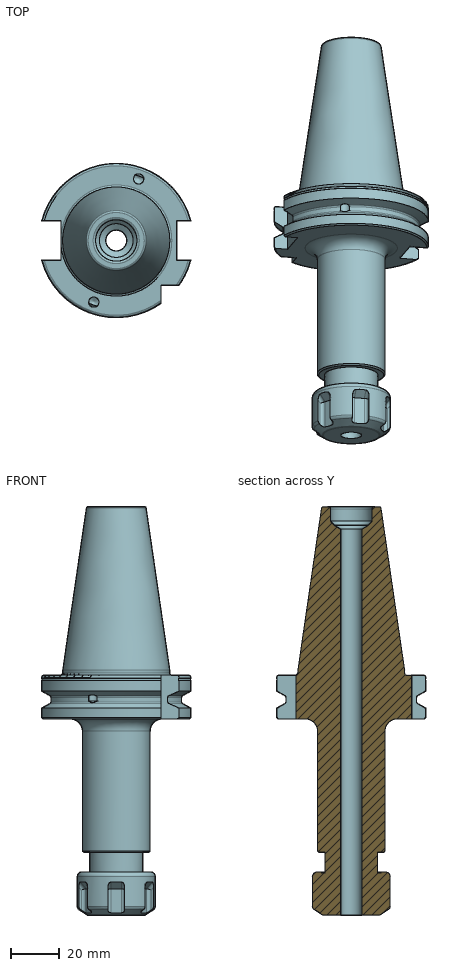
import math

import cadquery as cq


gauge_radius = 44.45 / 2
taper_length = 68.4
taper_slope = 7 / 48
taper_end_radius = gauge_radius - taper_slope * taper_length
taper_end_fillet = 0.8
taper_start_z = 1.0
collar_fillet = 0.8

pilot_radius = 8.5
pilot_depth = 6.0
pilot_mouth_fillet = 1.0
thread_radius = 6.95
thread_cone_angle = 90
thread_depth = 7.7
drill_radius = 4.25
drill_point_angle = 118

flange_radius = 63.55 / 2
flange_top_z = -1.0
flange_bottom_z = -19.1
flange_top_fillet = 1.0
flange_bottom_chamfer = 0.6
groove_center_z = -11.1
groove_mouth_width = 7.0
groove_floor_radius = 56.25 / 2
groove_half_angle = 30
groove_floor_fillet = 0.8
rim_band_depth = 0.15
rim_band_top_z = -2.5
rim_band_width = 0.8

key_slot_width = 16.1
key_slot_minus_x = 22.8
key_slot_plus_x = 25.0
notch_offset = 18.5

coolant_circle_radius = 27.0
coolant_hole_radius = 2.1
coolant_hole_angle = 70
coolant_hole_tip_z = -13.0

body_radius = 14.0
body_fillet = 5.0
body_bottom_z = -74.0
body_chamfer = 0.6
neck_radius = 11.0

nut_radius = 16.1
nut_top_z = -82.0
nut_bottom_z = -100.0
nut_top_fillet = 2.0
nut_face_radius = 11.7
nut_cone_height = 2.9
nut_corner_fillet = 1.5
nut_face_fillet = 0.8
nut_recess_radius = 12.2
nut_recess_depth = 0.5

wrench_slot_count = 6
wrench_slot_start_angle = 30
wrench_slot_width = 7.0
wrench_slot_floor = 13.2
wrench_slot_fillet = 1.4
wrench_slot_top_z = -86.1
wrench_slot_extra_length = 1.0


def circles_at(part, z):
    """Circular edges of a turned part that lie at height z around the Z axis."""
    margin = 0.05
    near_axis = cq.selectors.BoxSelector((-margin, -margin, z - margin), (margin, margin, z + margin))
    return part.edges("%CIRCLE").edges(near_axis)


def make_shank_and_flange():
    """Revolved taper, collar, grooved flange, body and neck."""
    groove_depth = flange_radius - groove_floor_radius
    half_mouth = groove_mouth_width / 2
    half_floor = half_mouth - groove_depth * math.tan(math.radians(groove_half_angle))
    taper_start_radius = gauge_radius - taper_slope * taper_start_z
    profile = (
        cq.Workplane("XZ")
        .moveTo(0, taper_length)
        .lineTo(taper_end_radius, taper_length)
        .lineTo(taper_start_radius, taper_start_z)
        .lineTo(taper_start_radius, flange_top_z + collar_fillet)
        .radiusArc((taper_start_radius + collar_fillet, flange_top_z), -collar_fillet)
        .lineTo(flange_radius - flange_top_fillet, flange_top_z)
        .radiusArc((flange_radius, flange_top_z - flange_top_fillet), flange_top_fillet)
        .lineTo(flange_radius, rim_band_top_z)
        .lineTo(flange_radius - rim_band_depth, rim_band_top_z)
        .lineTo(flange_radius - rim_band_depth, rim_band_top_z - rim_band_width)
        .lineTo(flange_radius, rim_band_top_z - rim_band_width)
        .lineTo(flange_radius, groove_center_z + half_mouth)
        .lineTo(groove_floor_radius, groove_center_z + half_floor)
        .lineTo(groove_floor_radius, groove_center_z - half_floor)
        .lineTo(flange_radius, groove_center_z - half_mouth)
        .lineTo(flange_radius, flange_bottom_z + flange_bottom_chamfer)
        .lineTo(flange_radius - flange_bottom_chamfer, flange_bottom_z)
        .lineTo(body_radius + body_fillet, flange_bottom_z)
        .radiusArc((body_radius, flange_bottom_z - body_fillet), -body_fillet)
        .lineTo(body_radius, body_bottom_z + body_chamfer)
        .lineTo(body_radius - body_chamfer, body_bottom_z)
        .lineTo(neck_radius, body_bottom_z)
        .lineTo(neck_radius, nut_top_z - nut_recess_depth)
        .lineTo(0, nut_top_z - nut_recess_depth)
        .close()
    )
    shank = profile.revolve(360, (0, 0, 0), (0, 1, 0))
    shank = circles_at(shank, taper_length).fillet(taper_end_fillet)
    for side in (-1, 1):
        shank = circles_at(shank, groove_center_z + side * half_floor).fillet(groove_floor_fillet)
    return shank


def cut_key_slots(part):
    """Two drive slots through the flange, at different depths on -X and +X."""
    height = taper_start_z - flange_bottom_z
    for side, floor in ((-1, key_slot_minus_x), (1, key_slot_plus_x)):
        slot = (
            cq.Workplane("XY", origin=(side * (floor + flange_radius / 2), 0, flange_bottom_z))
            .rect(flange_radius, key_slot_width)
            .extrude(height)
        )
        part = part.cut(slot)
    return part


def cut_orientation_notch(part):
    """Square corner notch through the flange on the +X, -Y side."""
    notch = (
        cq.Workplane("XY", origin=(notch_offset, -notch_offset, flange_bottom_z))
        .rect(flange_radius, -flange_radius, centered=False)
        .extrude(flange_top_z - flange_bottom_z)
    )
    return part.cut(notch)


def drill_point_height(radial_drop):
    """Height over which a drill point narrows by the given radius."""
    return radial_drop / math.tan(math.radians(drill_point_angle / 2))


def cut_coolant_holes(part):
    """Two opposite drilled blind holes in the flange face that break into the groove."""
    cone_base_z = coolant_hole_tip_z + drill_point_height(coolant_hole_radius)
    hole = (
        cq.Workplane("XZ")
        .moveTo(0, flange_top_z)
        .lineTo(coolant_hole_radius, flange_top_z)
        .lineTo(coolant_hole_radius, cone_base_z)
        .lineTo(0, coolant_hole_tip_z)
        .close()
        .revolve(360, (0, 0, 0), (0, 1, 0))
        .translate((coolant_circle_radius, 0, 0))
    )
    for angle in (coolant_hole_angle, coolant_hole_angle + 180):
        part = part.cut(hole.rotate((0, 0, 0), (0, 0, 1), angle))
    return part


def cut_center_bore(part):
    """Stepped pull-stud bore continuing as a drilled hole through the part."""
    point_depth = drill_point_height(thread_radius - drill_radius)
    thread_cone_depth = (pilot_radius - thread_radius) / math.tan(math.radians(thread_cone_angle / 2))
    thread_bottom_z = taper_length - thread_depth
    pilot_bottom_z = taper_length - pilot_depth
    bore = (
        cq.Workplane("XZ")
        .moveTo(0, taper_length)
        .lineTo(pilot_radius + pilot_mouth_fillet, taper_length)
        .radiusArc((pilot_radius, taper_length - pilot_mouth_fillet), -pilot_mouth_fillet)
        .lineTo(pilot_radius, pilot_bottom_z)
        .lineTo(thread_radius, pilot_bottom_z - thread_cone_depth)
        .lineTo(thread_radius, thread_bottom_z)
        .lineTo(drill_radius, thread_bottom_z - point_depth)
        .lineTo(drill_radius, nut_bottom_z)
        .lineTo(0, nut_bottom_z)
        .close()
        .revolve(360, (0, 0, 0), (0, 1, 0))
    )
    return part.cut(bore)


def make_nut_blank():
    """Round nut with a filleted top, a conical end and a recess around the neck."""
    corner_z = nut_bottom_z + nut_cone_height
    blank = (
        cq.Workplane("XZ")
        .moveTo(0, nut_top_z)
        .lineTo(nut_radius, nut_top_z)
        .lineTo(nut_radius, corner_z)
        .lineTo(nut_face_radius, nut_bottom_z)
        .lineTo(0, nut_bottom_z)
        .close()
        .revolve(360, (0, 0, 0), (0, 1, 0))
    )
    blank = circles_at(blank, nut_top_z).fillet(nut_top_fillet)
    blank = circles_at(blank, corner_z).fillet(nut_corner_fillet)
    blank = circles_at(blank, nut_bottom_z).fillet(nut_face_fillet)
    recess = (
        cq.Workplane("XY", origin=(0, 0, nut_top_z))
        .circle(nut_recess_radius)
        .extrude(-nut_recess_depth)
    )
    return blank.cut(recess)


def make_wrench_slot_cutter(top_z):
    """Slot cutter on the +X side: flat floor, 45 degree upper end, rounded floor edges."""
    reach = nut_radius + wrench_slot_fillet
    end_slope_top = top_z + reach - nut_radius
    end_slope_bottom = top_z - (nut_radius - wrench_slot_floor)
    block = (
        cq.Workplane("XZ", origin=(0, wrench_slot_width / 2, 0))
        .moveTo(wrench_slot_floor, nut_bottom_z)
        .lineTo(wrench_slot_floor, end_slope_bottom)
        .lineTo(reach, end_slope_top)
        .lineTo(reach, nut_bottom_z)
        .close()
        .extrude(wrench_slot_width)
    )
    floor_edges = block.edges("|Z").edges("<X")
    end_edges = block.edges(cq.selectors.ParallelDirSelector(cq.Vector(1, 0, 1)))
    return floor_edges.add(end_edges).fillet(wrench_slot_fillet)


def make_nut():
    """Nut blank with its ring of wrench slots, one of them facing -Y."""
    nut = make_nut_blank()
    short_cutter = make_wrench_slot_cutter(wrench_slot_top_z)
    long_cutter = make_wrench_slot_cutter(wrench_slot_top_z + wrench_slot_extra_length)
    for index in range(wrench_slot_count):
        angle = wrench_slot_start_angle + index * 360 / wrench_slot_count
        cutter = long_cutter if angle < 180 else short_cutter
        nut = nut.cut(cutter.rotate((0, 0, 0), (0, 0, 1), angle))
    return nut


holder = make_shank_and_flange()
holder = cut_key_slots(holder)
holder = cut_orientation_notch(holder)
holder = cut_coolant_holes(holder)
holder = holder.union(make_nut())
result = cut_center_bore(holder)